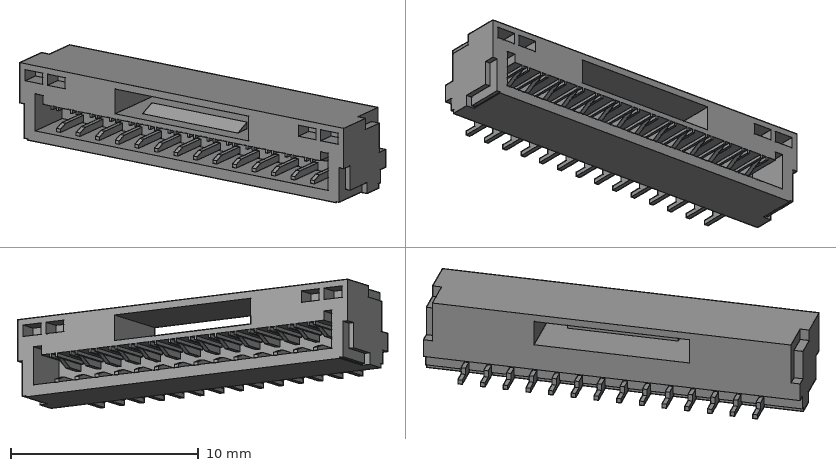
import cadquery as cq


length = 20.75
height = 4.25
depth = 4.07
half_length = length / 2

rear_step_depth = 0.5
rear_step_height = 1.0
foot_step_depth = 0.68
foot_step_height = 0.25

pin_count = 14
pin_span = 16.25
pin_pitch = pin_span / (pin_count - 1)
pin_width = 0.25
pin_xs = [-pin_span / 2 + i * pin_pitch for i in range(pin_count)]

cavity_inset = 1.0
cavity_floor = 0.6
cavity_ceiling = 2.18
cavity_depth = 2.6
cavity_half = half_length - cavity_inset
key_width = 0.5
key_height = 0.5
guide_rib_width = 0.5
guide_rib_height = 0.19

tongue_tip_y = 0.37
tongue_bottom = 0.66
tongue_tip_top = 0.85
tongue_top = 1.04
tongue_taper = 0.5
arm_start_y = 0.42
arm_lead_in = 1.08
arm_bottom = 1.64

tail_end_y = 4.95
tail_bottom = 0.06
tail_thickness = 0.25
tail_top = tail_bottom + tail_thickness
tail_block_top = 0.68
tail_block_end_y = 4.25

window_width = 8.55
window_sill = 2.47
window_top = 3.85
ridge_width = 6.1
ridge_height = 0.37
ridge_start_y = 0.83
ridge_lead_in = 0.9

pocket_width = 1.12
pocket_height = 0.62
pocket_bottom = 3.3
pocket_depth = 1.0
pocket_insets = (0.91, 2.35)

end_recess_width = 0.5
recess_leg = 0.62
recess_top_reach = 1.95
recess_rear_bottom = 2.0

slot_depth = 0.5
slot_leg = 0.62
slot_height = 2.0
slot_reach = 2.25
clip_thickness = 0.2
clip_gap = 0.06


def block(x0, x1, y0, y1, z0, z1):
    """Box given by its limits along each axis."""
    return cq.Workplane("XY").box(x1 - x0, y1 - y0, z1 - z0, centered=False).translate((x0, y0, z0))


def extruded_profile(points, x_center, width):
    """Closed Y-Z outline extruded symmetrically about x_center."""
    profile = cq.Workplane("YZ", origin=(x_center, 0, 0)).polyline(points).close()
    return profile.extrude(width / 2, both=True)


def make_shell():
    """Housing block with its stepped lower rear edge."""
    rear_wall = depth - rear_step_depth
    foot_rear = rear_wall - (foot_step_depth - rear_step_depth)
    outline = [
        (0, 0),
        (foot_rear, 0),
        (foot_rear, foot_step_height),
        (rear_wall, foot_step_height),
        (rear_wall, rear_step_height),
        (depth, rear_step_height),
        (depth, height),
        (0, height),
    ]
    return extruded_profile(outline, 0, length)


def make_cavity():
    """Cavity opening with key slots at both ends and slotted guide ribs left standing over the contacts."""
    cavity = block(-cavity_half, cavity_half, 0, cavity_depth, cavity_floor, cavity_ceiling)
    key_top = cavity_ceiling + key_height
    for x0 in (-cavity_half, cavity_half - key_width):
        cavity = cavity.union(block(x0, x0 + key_width, 0, cavity_depth, cavity_floor, key_top))
    rib_side_width = (guide_rib_width - pin_width) / 2
    rib_bottom = cavity_ceiling - guide_rib_height
    rib_sides = cq.Workplane("XY")
    for x in pin_xs:
        for x0 in (x - guide_rib_width / 2, x + pin_width / 2):
            rib_side = block(x0, x0 + rib_side_width, 0, cavity_depth, rib_bottom, cavity_ceiling)
            rib_sides = rib_sides.add(rib_side)
    return cavity.cut(cq.Compound.makeCompound(rib_sides.vals()))


def make_latch_ridge():
    """Ridge with a sloped leading face and a vertical rear face."""
    peak_y = ridge_start_y + ridge_lead_in
    outline = [(ridge_start_y, window_sill), (peak_y, window_sill + ridge_height), (peak_y, window_sill)]
    return extruded_profile(outline, 0, ridge_width)


def make_contact(x):
    """One contact: tapered tongue, arm with a sloped lead-in, and stepped solder tail."""
    tongue = [
        (tongue_tip_y, tongue_bottom),
        (cavity_depth, tongue_bottom),
        (cavity_depth, tongue_top),
        (tongue_tip_y + tongue_taper, tongue_top),
        (tongue_tip_y, tongue_tip_top),
    ]
    arm = [
        (arm_start_y, cavity_ceiling),
        (cavity_depth, cavity_ceiling),
        (cavity_depth, arm_bottom),
        (arm_start_y + arm_lead_in, arm_bottom),
    ]
    rear_wall = depth - rear_step_depth
    tail_start_y = depth - foot_step_depth
    tail = [
        (tail_start_y, tail_bottom),
        (tail_end_y, tail_bottom),
        (tail_end_y, tail_top),
        (tail_block_end_y, tail_top),
        (tail_block_end_y, tail_block_top),
        (rear_wall, tail_block_top),
        (rear_wall, tail_top),
        (tail_start_y, tail_top),
    ]
    return [extruded_profile(outline, x, pin_width) for outline in (tongue, arm, tail)]


def end_recess(side):
    """L-shaped recess in one upper rear corner; side is -1 or +1."""
    outline = [
        (depth, height),
        (depth - recess_top_reach, height),
        (depth - recess_top_reach, height - recess_leg),
        (depth - recess_leg, height - recess_leg),
        (depth - recess_leg, recess_rear_bottom),
        (depth, recess_rear_bottom),
    ]
    return extruded_profile(outline, side * (half_length - end_recess_width / 2), end_recess_width)


def clip_outline(gap):
    """L along the front and bottom edges, with a gap left below it and behind its foot."""
    return [
        (0, gap),
        (slot_reach - gap, gap),
        (slot_reach - gap, slot_leg),
        (slot_leg, slot_leg),
        (slot_leg, slot_height),
        (0, slot_height),
    ]


def clip_slot(side):
    """Slot cut into one end of the housing for its clip."""
    return extruded_profile(clip_outline(0), side * (half_length - slot_depth / 2), slot_depth)


def clip(side):
    """Clip lying against the inner wall of its slot."""
    x_center = side * (half_length - slot_depth + clip_thickness / 2)
    return extruded_profile(clip_outline(clip_gap), x_center, clip_thickness)


def pocket(x_center):
    """Blind rectangular pocket in the mating face."""
    x0 = x_center - pocket_width / 2
    return block(x0, x0 + pocket_width, 0, pocket_depth, pocket_bottom, pocket_bottom + pocket_height)


result = make_shell().cut(make_cavity())
result = result.cut(block(-window_width / 2, window_width / 2, 0, depth, window_sill, window_top))
result = result.union(make_latch_ridge())

for side in (-1, 1):
    result = result.cut(end_recess(side)).cut(clip_slot(side)).union(clip(side))
    for inset in pocket_insets:
        result = result.cut(pocket(side * (half_length - inset)))

contact_pieces = cq.Workplane("XY")
for pin_x in pin_xs:
    for contact_piece in make_contact(pin_x):
        contact_pieces = contact_pieces.add(contact_piece)
result = result.union(cq.Compound.makeCompound(contact_pieces.vals()))